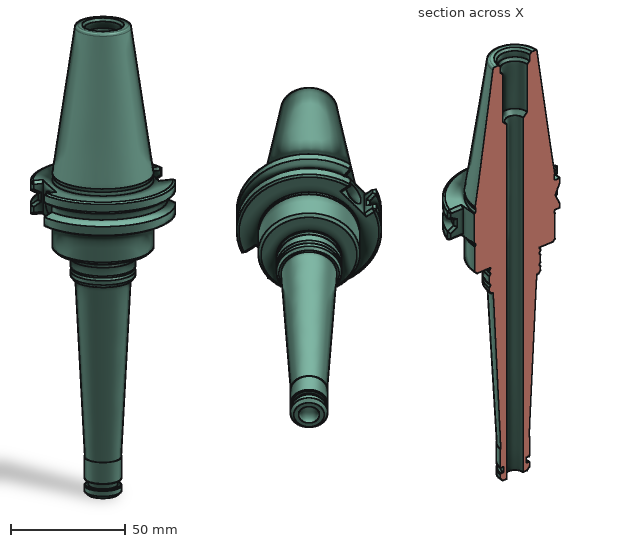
import cadquery as cq
import math

overall_length = 216.6
taper_top = 68.5
flange_top = -3.2
flange_bottom = -18.8
collar_bottom = -35.0
guide_bottom = -48.5
cone_bottom = -131.0
neck_top = -141.3
neck_bottom = -143.9
nose_bottom = taper_top - overall_length

gauge_diameter = 44.5
taper_ratio = 7 / 24
flange_diameter = 63.5
v_groove_diameter = 56.8
collar_diameter = 44.6
guide_diameter = 28.5
cone_top_diameter = 24.5
cone_bottom_diameter = 16.0
nose_diameter = 16.5
neck_diameter = 13.0

taper_end_fillet = 1.3
flange_chamfer_radial = 1.0
flange_chamfer_axial = 0.6
collar_chamfer = 1.3
guide_chamfer_radial = 1.0
guide_chamfer_axial = 1.5
nose_chamfer = 1.5
neck_edge_chamfer = 0.5
relief_depth = 0.5
ring_groove_depth = 0.6
ring_groove_width = 2.2
collar_relief_width = 1.7
ring_groove_tops = (-36.8, -43.0)
guide_undercut_bottom = -36.2

v_groove_centre = -10.8
v_groove_mouth = 6.7
v_flank_angle = 30

slot_width = 15.5
front_slot_floor = 25.0
back_slot_floor = 22.7
slot_edge_break = 1.3

dimple_diameter = 10.6
dimple_centre = -11.3
dimple_point_angle = 130

mouth_diameter = 18.5
thread_diameter = 16.0
thread_depth = 4.3
inner_bore_diameter = 13.5
inner_bore_depth = 30.3
through_diameter = 9.0
bore_cone_half_angle = 45


def ring_groove(radius, top, width, depth):
    """Profile points of a shallow V groove on a cylinder, from its upper to its lower edge."""
    return [(radius, top), (radius - depth, top - width / 2), (radius, top - width)]


def turned_body():
    gauge_r = gauge_diameter / 2
    flange_r = flange_diameter / 2
    v_root_r = v_groove_diameter / 2
    collar_r = collar_diameter / 2
    guide_r = guide_diameter / 2
    nose_r = nose_diameter / 2
    neck_r = neck_diameter / 2
    taper_end_r = gauge_r - taper_top * taper_ratio / 2
    v_top = v_groove_centre + v_groove_mouth / 2
    v_bottom = v_groove_centre - v_groove_mouth / 2
    v_flank = (flange_r - v_root_r) * math.tan(math.radians(v_flank_angle))

    taper = [
        (0, taper_top),
        (taper_end_r, taper_top),
        *ring_groove(gauge_r, 0, -flange_top, relief_depth),
    ]
    flange = [
        (flange_r - flange_chamfer_radial, flange_top),
        (flange_r, flange_top - flange_chamfer_axial),
        (flange_r, v_top),
        (v_root_r, v_top - v_flank),
        (v_root_r, v_bottom + v_flank),
        (flange_r, v_bottom),
        (flange_r, flange_bottom + flange_chamfer_axial),
        (flange_r - flange_chamfer_radial, flange_bottom),
    ]
    collar = [
        *ring_groove(collar_r, flange_bottom, collar_relief_width, relief_depth),
        (collar_r, collar_bottom + collar_chamfer),
        (collar_r - collar_chamfer, collar_bottom),
    ]
    guide = [(guide_r - ring_groove_depth, collar_bottom), (guide_r, guide_undercut_bottom)]
    for top in ring_groove_tops:
        guide += ring_groove(guide_r, top, ring_groove_width, ring_groove_depth)
    guide += [
        (guide_r, guide_bottom + guide_chamfer_axial),
        (guide_r - guide_chamfer_radial, guide_bottom),
    ]
    nose = [
        (cone_top_diameter / 2, guide_bottom),
        (cone_bottom_diameter / 2, cone_bottom),
        (nose_r, cone_bottom),
        (nose_r, neck_top + neck_edge_chamfer),
        (nose_r - neck_edge_chamfer, neck_top),
        (neck_r, neck_top),
        (neck_r, neck_bottom),
        (nose_r - neck_edge_chamfer, neck_bottom),
        (nose_r, neck_bottom - neck_edge_chamfer),
        (nose_r, nose_bottom + nose_chamfer),
        (nose_r - nose_chamfer, nose_bottom),
        (0, nose_bottom),
    ]
    outline = taper + flange + collar + guide + nose
    body = cq.Workplane("XZ").polyline(outline).close().revolve(360, (0, 0), (0, 1))
    return body.faces(">Z").edges().fillet(taper_end_fillet)


def drive_slot(floor, side):
    """Cutter for one slot through the rim; side is -1 for -Y and +1 for +Y."""
    depth = flange_diameter / 2 - floor
    cutter = cq.Workplane().box(slot_width, depth, flange_top - flange_bottom)
    return cutter.translate((0, side * (floor + depth / 2), (flange_top + flange_bottom) / 2))


def break_slot_edges(body):
    """Chamfer the edges of the slot side walls, except the corners beside the slot floors."""
    half = slot_width / 2
    floors = (-front_slot_floor, back_slot_floor)
    tolerance = 0.002

    def is_free_wall_edge(edge):
        box = edge.BoundingBox()
        on_wall = box.xlen < tolerance and abs(abs(box.xmin) - half) < tolerance
        on_floor = box.ylen < tolerance and any(abs(box.ymin - y) < tolerance for y in floors)
        return on_wall and not on_floor

    free_edges = [edge for edge in body.edges().vals() if is_free_wall_edge(edge)]
    return body.newObject(free_edges).chamfer(slot_edge_break)


def conical_dimple():
    """Cutter for the drilled dimple, entering the front slot floor along +Y."""
    radius = dimple_diameter / 2
    tip_length = radius / math.tan(math.radians(dimple_point_angle / 2))
    profile = [(0, 0), (radius, 0), (0, tip_length)]
    cutter = cq.Workplane("XY").polyline(profile).close().revolve(360, (0, 0), (0, 1))
    return cutter.translate((0, -front_slot_floor, dimple_centre))


def stepped_bore():
    """Cutter for the coaxial bore; each smaller step is reached through a cone."""
    mouth_r = mouth_diameter / 2
    thread_r = thread_diameter / 2
    inner_r = inner_bore_diameter / 2
    through_r = through_diameter / 2
    axial_per_radial = 1 / math.tan(math.radians(bore_cone_half_angle))
    thread_bottom = taper_top - thread_depth
    inner_bottom = taper_top - inner_bore_depth
    profile = [
        (0, taper_top),
        (mouth_r, taper_top),
        (thread_r, taper_top - (mouth_r - thread_r) * axial_per_radial),
        (thread_r, thread_bottom),
        (inner_r, thread_bottom - (thread_r - inner_r) * axial_per_radial),
        (inner_r, inner_bottom),
        (through_r, inner_bottom - (inner_r - through_r) * axial_per_radial),
        (through_r, nose_bottom),
        (0, nose_bottom),
    ]
    return cq.Workplane("XZ").polyline(profile).close().revolve(360, (0, 0), (0, 1))


slotted = turned_body().cut(drive_slot(front_slot_floor, -1)).cut(drive_slot(back_slot_floor, 1))
result = break_slot_edges(slotted).cut(conical_dimple()).cut(stepped_bore())